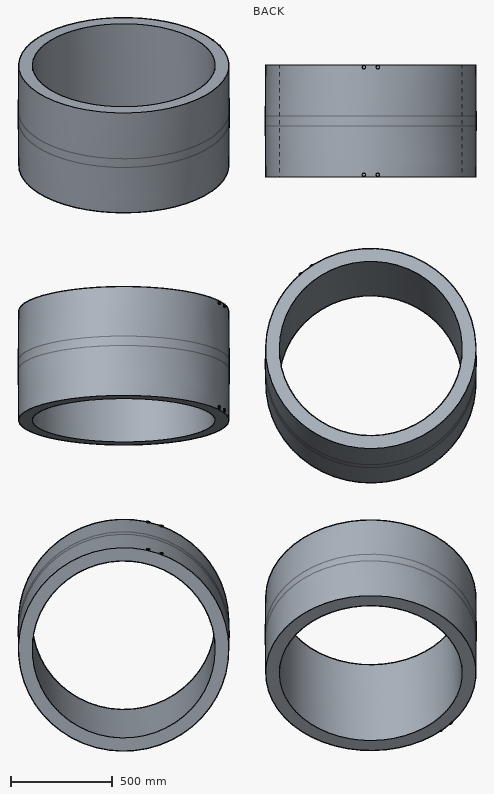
import cadquery as cq
import math

height = 550.0
band_diameter = 1035.0
end_diameter = 1031.0
bore_diameter = 896.0
band_height = 48.0

pin_diameter = 17.0
pin_spacing = 68.0
pin_rim_distance = 11.0
pin_tip_y = 520.0
pin_length = 21.0

band_radius = band_diameter / 2
end_radius = end_diameter / 2
bore_radius = bore_diameter / 2
half_height = height / 2
half_band = band_height / 2

crown_length = half_height - half_band
crown_drop = band_radius - end_radius
crown_arc_radius = (crown_length**2 + crown_drop**2) / (2 * crown_drop)
crown_half_angle = math.asin(crown_length / crown_arc_radius) / 2
crown_middle = half_band + crown_arc_radius * math.sin(crown_half_angle)
crown_radius = band_radius - crown_arc_radius * (1 - math.cos(crown_half_angle))


def make_ring():
    """Revolve the wall: a straight central band, gently crowned towards each rim."""
    wall = (
        cq.Workplane("XZ")
        .moveTo(bore_radius, -half_height)
        .lineTo(end_radius, -half_height)
        .threePointArc((crown_radius, -crown_middle), (band_radius, -half_band))
        .lineTo(band_radius, half_band)
        .threePointArc((crown_radius, crown_middle), (end_radius, half_height))
        .lineTo(bore_radius, half_height)
        .close()
    )
    return wall.revolve(360, (0, 0, 0), (0, 1, 0))


def make_pins():
    """Four pins pointing along +Y, two side by side at each rim."""
    row_spacing = height - 2 * pin_rim_distance
    return (
        cq.Workplane("XZ", origin=(0, pin_tip_y, 0))
        .rarray(pin_spacing, row_spacing, 2, 2)
        .circle(pin_diameter / 2)
        .extrude(pin_length)
    )


result = make_ring().union(make_pins())